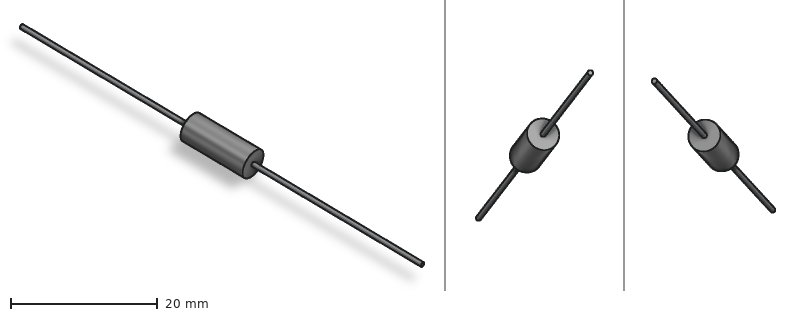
import cadquery as cq

overall_length = 71.0
body_length = 11.0
body_diameter = 4.5
lead_diameter = 0.75
lead_length = (overall_length - body_length) / 2


def cylinder_along_x(start_x, length, diameter):
    return cq.Workplane("YZ", origin=(start_x, 0, 0)).circle(diameter / 2).extrude(length)


def make_body():
    return cylinder_along_x(-body_length / 2, body_length, body_diameter)


def make_lead(start_x):
    return cylinder_along_x(start_x, lead_length, lead_diameter)


body = make_body()

lead_starts = (-overall_length / 2, body_length / 2)
leads = [make_lead(start_x) for start_x in lead_starts]

result = cq.Compound.makeCompound([body.val(), *[lead.val() for lead in leads]])